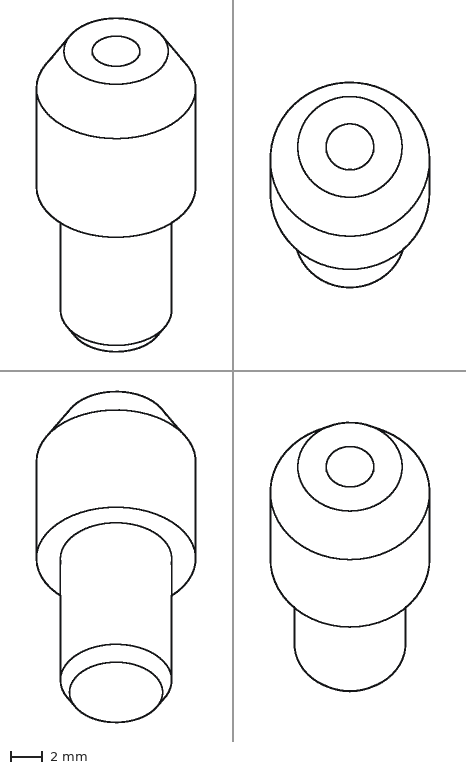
import cadquery as cq
import math

total_height = 22.0
head_diameter = 10.0
stem_diameter = 7.0
hole_diameter = 3.0
head_taper_height = 3.0
stem_chamfer_height = 1.0
taper_angle = 30.0

stem_height = total_height / 2
hole_depth = total_height - stem_height
head_radius = head_diameter / 2
stem_radius = stem_diameter / 2
taper_slope = math.tan(math.radians(taper_angle))
head_top_radius = head_radius - head_taper_height * taper_slope
stem_tip_radius = stem_radius - stem_chamfer_height * taper_slope

pin = (
    cq.Workplane("XZ")
    .moveTo(0, 0)
    .lineTo(stem_tip_radius, 0)
    .lineTo(stem_radius, stem_chamfer_height)
    .lineTo(stem_radius, stem_height)
    .lineTo(head_radius, stem_height)
    .lineTo(head_radius, total_height - head_taper_height)
    .lineTo(head_top_radius, total_height)
    .lineTo(0, total_height)
    .close()
    .revolve(360, (0, 0, 0), (0, 1, 0))
)

result = pin.faces(">Z").workplane().hole(hole_diameter, hole_depth)